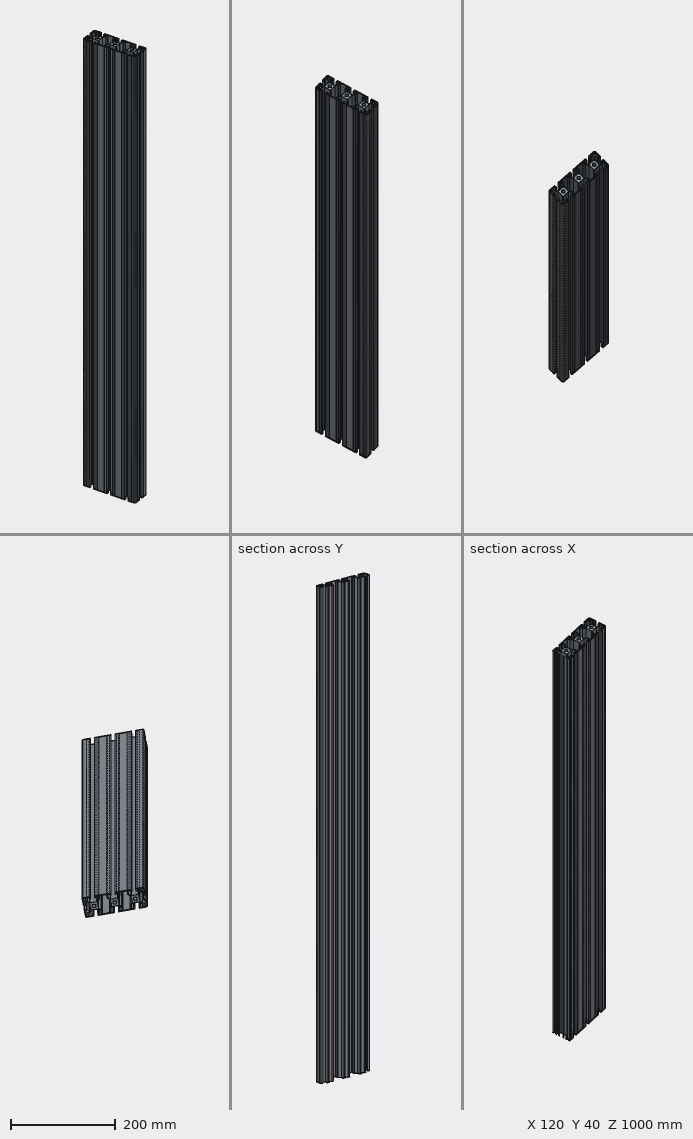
import cadquery as cq
module = 40.0
cell_count = 3
width = cell_count * module
length = 1000.0
corner_radius = 3.0
thin_wall = 1.7

core_half = 7.6
bore_diameter = 6.8

slot_half_width = 4.1
lip_thickness = 4.5
lip_half_width = 6.5
lip_slope_run = 0.5
chamber_half_width = 11.0
chamber_web_offset = 1.2

cavity_half_width = 7.3
cavity_web_offset = 1.1

corner_cavity_wall = 2.2
corner_cavity_side = 4.0

half = module / 2
cell_centers = [(i - (cell_count - 1) / 2) * module for i in range(cell_count)]


def extrude_outline(points):
    """Full-length prism over a closed outline."""
    return cq.Workplane("XY").polyline(points).close().extrude(length)


def mirrored(points):
    """Close a half outline by reflecting it in the Y axis."""
    return points + [(-x, y) for x, y in reversed(points)]


def slot_cutter():
    """T-slot open toward +Y, for a cell centred on the origin."""
    lip_underside = half - lip_thickness
    chamber_roof = half - thin_wall
    right_side = [
        (slot_half_width, half),
        (slot_half_width, lip_underside),
        (lip_half_width, lip_underside),
        (lip_half_width + lip_slope_run, chamber_roof),
        (chamber_half_width, chamber_roof),
        (chamber_half_width, chamber_half_width + chamber_web_offset),
        (core_half - chamber_web_offset, core_half),
    ]
    return extrude_outline(mirrored(right_side))


def cut_slots(bar):
    """Slots on both long faces of every cell and on the two end faces."""
    placements = [(x, angle) for x in cell_centers for angle in (0, 180)]
    placements += [(cell_centers[0], 90), (cell_centers[-1], -90)]
    slot = slot_cutter()
    for x, angle in placements:
        bar = bar.cut(slot.rotate((0, 0, 0), (0, 0, 1), angle).translate((x, 0, 0)))
    return bar


def cavity_cutter():
    """Cavity between two cells, centred midway between them; it reaches to both cores."""
    upper_right = [
        (cavity_half_width, half - thin_wall),
        (cavity_half_width, half - cavity_half_width - cavity_web_offset),
        (half - core_half, core_half - cavity_web_offset),
    ]
    lower_right = [(x, -y) for x, y in reversed(upper_right)]
    return extrude_outline(mirrored(upper_right + lower_right))


def cut_cavities(bar):
    cavity = cavity_cutter()
    for left, right in zip(cell_centers, cell_centers[1:]):
        bar = bar.cut(cavity.translate(((left + right) / 2, 0, 0)))
    return bar


def cut_corner_cavities(bar):
    inset = 2 * corner_cavity_wall + corner_cavity_side
    cavities = (
        cq.Workplane("XY")
        .rect(width - inset, module - inset, forConstruction=True)
        .vertices()
        .rect(corner_cavity_side, corner_cavity_side)
        .extrude(length)
    )
    return bar.cut(cavities)


def cut_bores(bar):
    centers = [(x, 0) for x in cell_centers]
    bores = cq.Workplane("XY").pushPoints(centers).circle(bore_diameter / 2).extrude(length)
    return bar.cut(bores)


blank = cq.Workplane("XY").rect(width, module).extrude(length).edges("|Z").fillet(corner_radius)
result = cut_bores(cut_corner_cavities(cut_cavities(cut_slots(blank))))